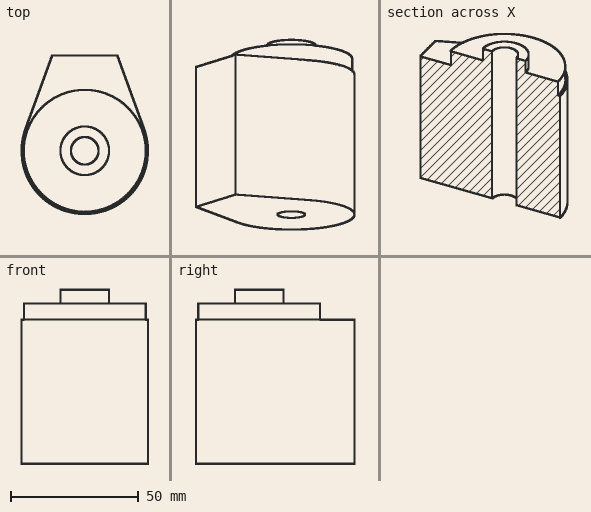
import cadquery as cq
import math

body_diameter = 49.53
body_height = 56.39
back_distance = 37.295
flank_angle = 20.0

cap_diameter = 47.75
cap_height = 6.35
boss_diameter = 19.05
boss_height = 5.38

bushing_diameter = 12.7
bore_diameter = 10.72

body_radius = body_diameter / 2
cap_top = body_height + cap_height
total_height = cap_top + boss_height


def make_body():
    angle = math.radians(flank_angle)
    tangent_x = body_radius * math.cos(angle)
    tangent_y = body_radius * math.sin(angle)
    back_half_width = tangent_x - (back_distance - tangent_y) * math.tan(angle)
    return (
        cq.Workplane("XY")
        .moveTo(-back_half_width, back_distance)
        .lineTo(-tangent_x, tangent_y)
        .threePointArc((0, -body_radius), (tangent_x, tangent_y))
        .lineTo(back_half_width, back_distance)
        .close()
        .extrude(body_height)
    )


def make_disc(diameter, height, base_z):
    return cq.Workplane("XY").workplane(offset=base_z).circle(diameter / 2).extrude(height)


cap = make_disc(cap_diameter, cap_height, body_height)
boss = make_disc(boss_diameter, boss_height, cap_top)
housing = make_body().union(cap).union(boss)

bushing = make_disc(bushing_diameter, total_height, 0)
bore = make_disc(bore_diameter, total_height, 0)
result = housing.union(bushing, clean=False).cut(bore, clean=False)